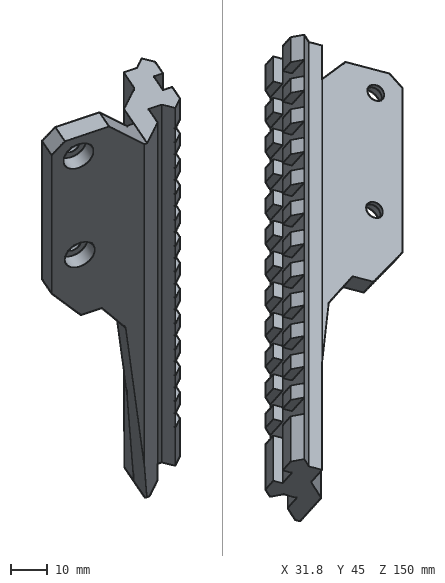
import cadquery as cq

width = 31.75
depth = 45.0
plate_height = 150.0
rail_height = 137.0

rail_width = 21.2
rail_center = rail_width / 2
flank = 2.75
top_width = rail_width - 2 * flank
groove_width = 5.8
groove_depth = 2.8
neck_depth = 2 * flank
arm_front = 9.5
arm_back = 15.5

arm_left = 9.6
plate_thickness = 6.1
outer_bend_x = 24.2
plate_inner_x = width - plate_thickness
inner_bend_depth = 19.4

slot_count = 12
slot_pitch = 9.91
slot_width = 5.3
first_slot_base = 14.6

shoulder_depth = 27.7
corner_run = 4.0
corner_height = 3.6
lower_corner_height = 93.4
tab_bottom_height = 81.4
tab_bottom_depth = 36.2
step_depth = 29.9
taper_top_depth = 22.7
taper_top_height = 70.8

hole_diameter = 5.0
screw_seat_diameter = 9.0
screw_seat_floor = 1.5
hole_places = [(36.9, 142.6), (36.5, 104.7)]

bevel_start_x = 28.7
bevel_size = width - bevel_start_x


def section_prism():
    """Rail, arm and plate section swept to the full height."""
    neck_left = flank
    neck_right = rail_width - flank
    top_left = rail_center - top_width / 2
    top_right = rail_center + top_width / 2
    arm_drop = arm_back - arm_front
    outer_bend_run = width - outer_bend_x
    inner_bend_run = inner_bend_depth - arm_back
    points = [
        (top_left, 0),
        (top_right, 0),
        (rail_width, -flank),
        (neck_right, -neck_depth),
        (neck_right, -arm_front),
        (outer_bend_x, -arm_front),
        (width, -arm_front - outer_bend_run),
        (width, -depth),
        (plate_inner_x, -depth),
        (plate_inner_x, -inner_bend_depth),
        (plate_inner_x - inner_bend_run, -arm_back),
        (arm_left + arm_drop, -arm_back),
        (arm_left, -arm_front),
        (neck_left, -arm_front),
        (neck_left, -neck_depth),
        (0, -flank),
    ]
    return cq.Workplane("XY").polyline(points).close().extrude(plate_height)


def side_outline():
    """Side shape of the part, as a block across the full width."""
    points = [
        (0, 0),
        (-arm_back, 0),
        (-taper_top_depth, taper_top_height),
        (-step_depth, tab_bottom_height),
        (-tab_bottom_depth, tab_bottom_height),
        (-depth, lower_corner_height),
        (-depth, plate_height - corner_height),
        (-depth + corner_run, plate_height),
        (-shoulder_depth, plate_height),
        (-arm_back, rail_height),
        (0, rail_height),
    ]
    return cq.Workplane("YZ").polyline(points).close().extrude(width)


def rail_groove():
    """Lengthwise groove along the middle of the rail."""
    groove = cq.Workplane("XY").box(groove_width, groove_depth, rail_height, centered=(True, False, False))
    return groove.translate((rail_center, -groove_depth, 0))


def cross_slot(base_height):
    """One slot across the rail, as deep as the lengthwise groove."""
    slot = cq.Workplane("XY").box(rail_width, groove_depth, slot_width, centered=False)
    return slot.translate((0, -groove_depth, base_height))


def mounting_hole(center_depth, height):
    """Through hole along X with a wider screw seat sunk from the outer face."""
    across_plate = cq.Workplane("YZ").center(-center_depth, height)
    bore = across_plate.circle(hole_diameter / 2).extrude(width)
    seat_start = plate_inner_x + screw_seat_floor
    seat = across_plate.workplane(offset=seat_start).circle(screw_seat_diameter / 2).extrude(plate_thickness)
    return bore.union(seat)


def bottom_bevel():
    """Wedge that trims the lowest outer corner of the slanted face."""
    points = [(bevel_start_x, 0), (width, 0), (width, bevel_size)]
    return cq.Workplane("XZ").polyline(points).close().extrude(depth)


result = section_prism().intersect(side_outline()).cut(rail_groove()).cut(bottom_bevel())
for index in range(slot_count):
    result = result.cut(cross_slot(first_slot_base + index * slot_pitch))
for hole_place in hole_places:
    result = result.cut(mounting_hole(*hole_place))